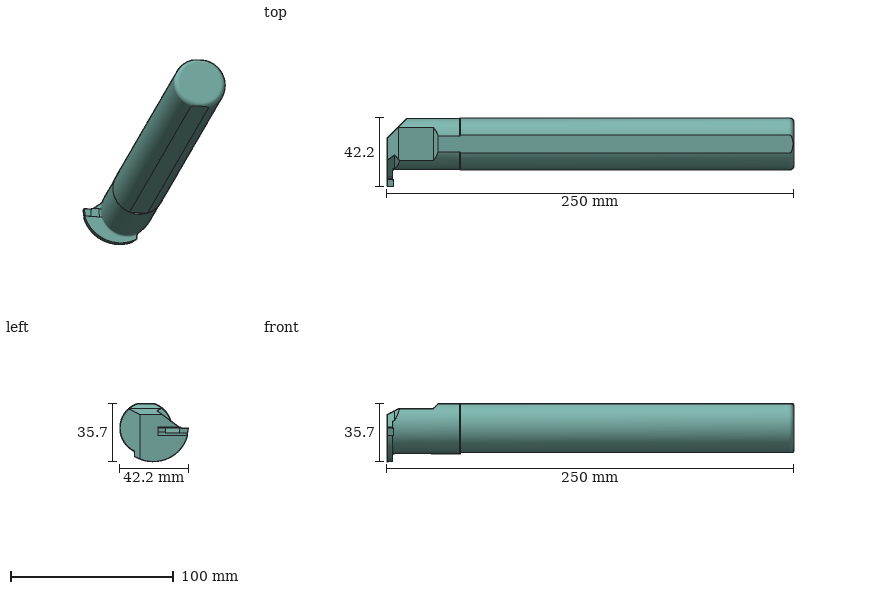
import cadquery as cq
import math


bar_length = 249.99
overall_width = 42.17
shank_radius = 16.0
shank_flat_height = 15.0
shank_end_fillet = 3.0

neck_radius = 15.75
neck_length = 44.5
neck_step_length = 0.7

recess_height = 12.0
recess_ramp_start = 28.4
recess_ramp_angle = 45.0

nose_height = 8.3
nose_bevel_length = 7.1
side_chamfer_start_y = 3.6

blade_radius = 22.0
blade_depth = 20.66
blade_center_y = -4.5
blade_center_z = blade_radius - blade_depth
blade_thickness = 3.4
blade_root_fillet = 1.1

relief_angle = 36.3
relief_point_y = -19.3
relief_point_z = 1.5
relief_width = blade_thickness + blade_root_fillet

insert_tip_y = shank_radius - overall_width
insert_inner_y = -7.6
insert_bottom_z = -4.6
insert_top_z = 0.7
insert_front_clearance = 0.8
insert_tip_length = 4.3
insert_top_ramp = 0.7
insert_tip_width = 4.0
insert_groove_start_y = -12.1
insert_groove_end_y = -20.6
insert_groove_bottom_z = -3.1
insert_groove_depth = 1.0
insert_inner_relief_bottom_z = -2.3
insert_side_relief_depth = 0.2

clear = 40.0


def x_cylinder(radius, start_x, end_x, center_y=0.0, center_z=0.0):
    """Cylinder along X between two stations."""
    return (
        cq.Workplane("YZ", origin=(start_x, center_y, center_z))
        .circle(radius)
        .extrude(end_x - start_x)
    )


def make_shank():
    start_x = neck_length + neck_step_length
    shank = x_cylinder(shank_radius, start_x, bar_length)
    return shank.faces(">X").edges().fillet(shank_end_fillet)


def make_neck():
    """Neck cylinder and the short cone that widens it to the shank."""
    neck = x_cylinder(neck_radius, 0, neck_length)
    cone = (
        cq.Workplane("YZ", origin=(neck_length, 0, 0))
        .circle(neck_radius)
        .workplane(offset=neck_step_length)
        .circle(shank_radius)
        .loft()
    )
    return neck.union(cone)


def make_top_cutter():
    """Everything above the nose bevel, the recess, its ramp and the shank flat."""
    ramp_length = (shank_flat_height - recess_height) / math.tan(math.radians(recess_ramp_angle))
    return (
        cq.Workplane("XZ")
        .moveTo(0, nose_height)
        .lineTo(nose_bevel_length, recess_height)
        .lineTo(recess_ramp_start, recess_height)
        .lineTo(recess_ramp_start + ramp_length, shank_flat_height)
        .lineTo(bar_length, shank_flat_height)
        .lineTo(bar_length, clear)
        .lineTo(0, clear)
        .close()
        .extrude(clear, both=True)
    )


def make_bottom_cutter():
    """Material below the lower shank flat."""
    start_x = neck_length + neck_step_length
    return (
        cq.Workplane("XY", origin=(start_x, 0, -shank_flat_height - clear))
        .box(bar_length - start_x, 2 * clear, clear, centered=(False, True, False))
    )


def make_side_cutter():
    """Corner removed by the 45 degree chamfer on the +Y side of the nose."""
    return (
        cq.Workplane("XY")
        .moveTo(0, side_chamfer_start_y)
        .lineTo(clear, side_chamfer_start_y + clear)
        .lineTo(0, side_chamfer_start_y + clear)
        .close()
        .extrude(clear, both=True)
    )


def make_relief_cutter():
    """Space above the inclined face, closed behind by a wall leaning back at 45 degrees."""
    angle = math.radians(relief_angle)
    downhill = cq.Vector(0, -math.cos(angle), -math.sin(angle))
    plane = cq.Plane(origin=(0, relief_point_y, relief_point_z), xDir=(1, 0, 0), normal=downhill)
    return (
        cq.Workplane(plane)
        .moveTo(0, 0)
        .lineTo(relief_width, 0)
        .lineTo(relief_width + clear, clear)
        .lineTo(0, clear)
        .close()
        .extrude(clear, both=True)
    )


def make_side_relief(inner_y, outer_y, bottom_z):
    """Shallow step in the end face of the insert, reaching up to the cutting edge height."""
    return (
        cq.Workplane("XY", origin=(0, outer_y, bottom_z))
        .box(insert_side_relief_depth, inner_y - outer_y, -bottom_z, centered=False)
    )


def make_insert():
    tip_root_y = insert_tip_y + insert_tip_length
    body = (
        cq.Workplane("YZ")
        .moveTo(insert_inner_y, insert_bottom_z)
        .lineTo(insert_tip_y + insert_front_clearance, insert_bottom_z)
        .lineTo(insert_tip_y, 0)
        .lineTo(tip_root_y, 0)
        .lineTo(tip_root_y + insert_top_ramp, insert_top_z)
        .lineTo(insert_inner_y, insert_top_z)
        .close()
        .extrude(blade_thickness)
    )
    tip = (
        cq.Workplane("YZ")
        .moveTo(tip_root_y, insert_bottom_z)
        .lineTo(insert_tip_y + insert_front_clearance, insert_bottom_z)
        .lineTo(insert_tip_y, 0)
        .lineTo(tip_root_y, 0)
        .close()
        .extrude(insert_tip_width)
    )
    groove = (
        cq.Workplane("XZ", origin=(0, insert_groove_start_y, 0))
        .moveTo(0, insert_groove_bottom_z)
        .lineTo(insert_groove_depth, 0)
        .lineTo(0, 0)
        .close()
        .extrude(insert_groove_start_y - insert_groove_end_y)
    )
    inner_relief = make_side_relief(insert_inner_y, insert_groove_start_y, insert_inner_relief_bottom_z)
    outer_relief = make_side_relief(insert_groove_start_y, insert_tip_y, insert_groove_bottom_z)
    return body.union(tip).cut(inner_relief).cut(outer_relief).cut(groove)


def make_insert_seat():
    """Slot through the blade with the outline of the insert."""
    return (
        cq.Workplane("YZ")
        .moveTo(insert_inner_y, insert_bottom_z)
        .lineTo(insert_tip_y - clear, insert_bottom_z)
        .lineTo(insert_tip_y - clear, insert_top_z)
        .lineTo(insert_inner_y, insert_top_z)
        .close()
        .extrude(blade_thickness)
    )


def make_bladed_neck():
    """Neck with the blade disc on its end and a fillet where the two meet."""
    blade = x_cylinder(blade_radius, 0, blade_thickness, blade_center_y, blade_center_z)
    blade_root = cq.selectors.RadiusNthSelector(0)
    return make_neck().union(blade).faces("<X[1]").edges(blade_root).fillet(blade_root_fillet)


def make_holder():
    holder = make_shank().union(make_bladed_neck())
    cutters = [
        make_top_cutter(),
        make_bottom_cutter(),
        make_side_cutter(),
        make_relief_cutter(),
        make_insert_seat(),
    ]
    for cutter in cutters:
        holder = holder.cut(cutter)
    return holder


insert = make_insert()
holder = make_holder()
result = cq.Compound.makeCompound([holder.val(), insert.val()])